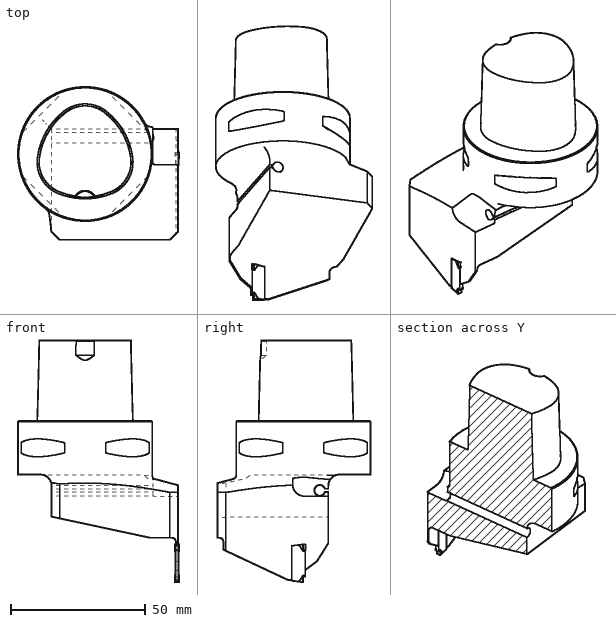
import cadquery as cq
import math


TOTAL_HEIGHT = 90
CUT_MARGIN = 0.9

FLANGE_RADIUS = 25.0
FLANGE_HEIGHT = 20.0
FLANGE_CHAMFER = 0.4
FLANGE_BOTTOM = -FLANGE_HEIGHT

SLOT_COUNT = 4
SLOT_FLOOR_RADIUS = 22.2
SLOT_FLOOR_HEIGHT = 3.8
SLOT_FLARE = 1.4
SLOT_FLOOR_FILLET = 0.5

SHANK_HEIGHT = 30.0
SHANK_TAPER = 1 / 40
SHANK_TIP_RADIUS = 17.9
SHANK_FLAT_RADIUS = 15.9
SHANK_LOBE_RADIUS = 11.9
LOBE_COUNT = 3
LOBE_PITCH = 360 / LOBE_COUNT
FIRST_TIP_ANGLE = 90

NOTCH_RADIUS = 4.0
NOTCH_CENTRE_Y = -17.8
NOTCH_DEPTH = 5.5
NOTCH_TIP_ANGLE = 100
NOTCH_CHAMFER = 0.3

ARM_LEFT = -12.5
ARM_RIGHT = 34.65
ARM_FRONT = -31.95
ARM_BACK = 9.4
ARM_CHAMFER = 3.1
FLARE_RADIUS = 4.05

CONE_SLOPE = 15
CONE_RIM_Z = -21.2
COLLAR_FILLET = 1.3

UNDERSIDE_LEFT_Z = -35.6
UNDERSIDE_Z = -43.5
UNDERSIDE_FLAT_X = 24.0
BLADE_THICKNESS = 0.9
BLADE_FILLET = 1.5
BLADE_LEFT = ARM_RIGHT - BLADE_THICKNESS
BLADE_BACK_Z = -45.45
BLADE_KNEE = (5.1, -52.2)
BLADE_TIP = (-5.7, -59.2)
BLADE_FRONT_Z = -46.9

RELIEF_LEFT = 25.2
RELIEF_FRONT = -4.0
RELIEF_FLOOR = -28.0
RELIEF_FRONT_FILLET = 4.3
RELIEF_LEFT_FILLET = 0.8

CLAMP_HOLE_Y = 6.1
CLAMP_HOLE_Z = -25.8
CLAMP_HOLE_RADIUS = 2.0
CLAMP_SLIT_WIDTH = 1.2

INSERT_LENGTH = 14.1
INSERT_BOTTOM = SHANK_HEIGHT - TOTAL_HEIGHT
INSERT_BACK = 0.7
INSERT_FRONT = -4.2
INSERT_EDGE_Y = -0.1
INSERT_SHOULDER = 2.1
INSERT_RELIEF = 0.5
INSERT_HEAD_WIDTH = 1.6
INSERT_BODY_WIDTH = 1.4
INSERT_HEAD_HEIGHT = 2.6
INSERT_HEAD_DEPTH = 1.5
INSERT_MID_X = ARM_RIGHT - BLADE_THICKNESS / 2
INSERT_MID_Z = INSERT_BOTTOM + INSERT_LENGTH / 2

WORK_BOTTOM_Z = INSERT_BOTTOM - CUT_MARGIN


def polar(radius, degrees):
    angle = math.radians(degrees)
    return radius * math.cos(angle), radius * math.sin(angle)


def yz_prism(points, x_start, x_end):
    """Prism along X with a straight-sided (Y, Z) outline."""
    return cq.Workplane("YZ", origin=(x_start, 0, 0)).polyline(points).close().extrude(x_end - x_start)


def make_flange():
    disc = cq.Workplane("XY").workplane(offset=FLANGE_BOTTOM).circle(FLANGE_RADIUS).extrude(FLANGE_HEIGHT)
    flange = disc.faces(">Z").chamfer(FLANGE_CHAMFER)
    depth = FLANGE_RADIUS - SLOT_FLOOR_RADIUS
    half_floor = SLOT_FLOOR_HEIGHT / 2
    half_mouth = half_floor + SLOT_FLARE
    slot = (
        cq.Workplane("XZ", origin=(0, FLANGE_RADIUS, FLANGE_BOTTOM / 2))
        .polyline([
            (SLOT_FLOOR_RADIUS, -half_floor),
            (SLOT_FLOOR_RADIUS + depth, -half_mouth),
            (SLOT_FLOOR_RADIUS + depth, half_mouth),
            (SLOT_FLOOR_RADIUS, half_floor),
        ])
        .close()
        .extrude(2 * FLANGE_RADIUS)
        .edges("|Y and <X")
        .fillet(SLOT_FLOOR_FILLET)
    )
    step = 360 / SLOT_COUNT
    for index in range(SLOT_COUNT):
        flange = flange.cut(slot.rotate((0, 0, 0), (0, 0, 1), (index + 0.5) * step))
    return flange


def shank_outline(plane, growth):
    """Three lobe arcs joined tangentially by three flatter side arcs."""
    tip = SHANK_TIP_RADIUS + growth
    flat = SHANK_FLAT_RADIUS + growth
    lobe = SHANK_LOBE_RADIUS + growth
    lobe_offset = tip - lobe
    gap = flat - lobe
    side_offset = (gap ** 2 - lobe_offset ** 2) / (lobe_offset - 2 * gap)
    run = lobe_offset + side_offset * math.cos(math.radians(LOBE_PITCH / 2))
    rise = side_offset * math.sin(math.radians(LOBE_PITCH / 2))
    reach = lobe / math.hypot(run, rise)
    join_along = lobe_offset + reach * run
    join_across = reach * rise
    join_radius = math.hypot(join_along, join_across)
    join_angle = math.degrees(math.atan2(join_across, join_along))

    outline = plane.moveTo(*polar(join_radius, FIRST_TIP_ANGLE - join_angle))
    for index in range(LOBE_COUNT):
        angle = FIRST_TIP_ANGLE + index * LOBE_PITCH
        outline = outline.threePointArc(polar(tip, angle), polar(join_radius, angle + join_angle))
        outline = outline.threePointArc(
            polar(flat, angle + LOBE_PITCH / 2),
            polar(join_radius, angle + LOBE_PITCH - join_angle),
        )
    return outline.close()


def make_shank():
    base = shank_outline(cq.Workplane("XY"), SHANK_HEIGHT * SHANK_TAPER)
    shank = shank_outline(base.workplane(offset=SHANK_HEIGHT), 0).loft(ruled=True)
    tip_height = NOTCH_RADIUS / math.tan(math.radians(NOTCH_TIP_ANGLE / 2))
    notch = (
        cq.Workplane("XZ", origin=(0, NOTCH_CENTRE_Y, SHANK_HEIGHT))
        .polyline([
            (0, 0),
            (NOTCH_RADIUS + NOTCH_CHAMFER, 0),
            (NOTCH_RADIUS, -NOTCH_CHAMFER),
            (NOTCH_RADIUS, -NOTCH_DEPTH),
            (0, -NOTCH_DEPTH - tip_height),
        ])
        .close()
        .revolve(360, (0, 0), (0, 1))
    )
    return shank.cut(notch)


def arm_along_y():
    """Arm outline in XZ: left face with its flare, sloped underside, thin blade at the right."""
    length = ARM_BACK + FLARE_RADIUS - ARM_FRONT
    return (
        cq.Workplane("XZ", origin=(0, ARM_BACK + FLARE_RADIUS, 0))
        .moveTo(ARM_LEFT - FLARE_RADIUS, FLANGE_BOTTOM)
        .radiusArc((ARM_LEFT, FLANGE_BOTTOM - FLARE_RADIUS), FLARE_RADIUS)
        .lineTo(ARM_LEFT, UNDERSIDE_LEFT_Z)
        .lineTo(UNDERSIDE_FLAT_X, UNDERSIDE_Z)
        .lineTo(BLADE_LEFT - BLADE_FILLET, UNDERSIDE_Z)
        .radiusArc((BLADE_LEFT, UNDERSIDE_Z - BLADE_FILLET), BLADE_FILLET)
        .lineTo(BLADE_LEFT, WORK_BOTTOM_Z)
        .lineTo(ARM_RIGHT, WORK_BOTTOM_Z)
        .lineTo(ARM_RIGHT, FLANGE_BOTTOM)
        .close()
        .extrude(length)
    )


def arm_along_x():
    """Arm outline in YZ: back face with its flare, and the lower edge of the blade."""
    return (
        cq.Workplane("YZ", origin=(ARM_LEFT - FLARE_RADIUS, 0, 0))
        .moveTo(ARM_BACK + FLARE_RADIUS, FLANGE_BOTTOM)
        .radiusArc((ARM_BACK, FLANGE_BOTTOM - FLARE_RADIUS), -FLARE_RADIUS)
        .lineTo(ARM_BACK, BLADE_BACK_Z)
        .lineTo(*BLADE_KNEE)
        .lineTo(INSERT_FRONT, BLADE_TIP[1])
        .lineTo(*BLADE_TIP)
        .lineTo(ARM_FRONT, BLADE_FRONT_Z)
        .lineTo(ARM_FRONT, FLANGE_BOTTOM)
        .close()
        .extrude(ARM_RIGHT - ARM_LEFT + FLARE_RADIUS)
    )


def arm_plan():
    """Arm outline in XY with both front corners chamfered."""
    left = ARM_LEFT - FLARE_RADIUS
    back = ARM_BACK + FLARE_RADIUS
    left_cut = ARM_CHAMFER + FLARE_RADIUS
    return (
        cq.Workplane("XY", origin=(0, 0, WORK_BOTTOM_Z))
        .polyline([
            (left, back),
            (left, ARM_FRONT + left_cut),
            (left + left_cut, ARM_FRONT),
            (ARM_RIGHT - ARM_CHAMFER, ARM_FRONT),
            (ARM_RIGHT, ARM_FRONT + ARM_CHAMFER),
            (ARM_RIGHT, back),
        ])
        .close()
        .extrude(FLANGE_BOTTOM - WORK_BOTTOM_Z)
    )


def arm_cone():
    """Round envelope: flange radius, collar fillet, then the falling cone."""
    slope = math.radians(CONE_SLOPE)
    setback = COLLAR_FILLET * math.tan((math.pi / 2 - slope) / 2)
    outer_radius = math.hypot(ARM_RIGHT, ARM_FRONT) + CUT_MARGIN
    outer_z = CONE_RIM_Z - (outer_radius - FLANGE_RADIUS) * math.tan(slope)
    fillet_end = (FLANGE_RADIUS + setback * math.cos(slope), CONE_RIM_Z - setback * math.sin(slope))
    return (
        cq.Workplane("XZ")
        .moveTo(0, FLANGE_BOTTOM)
        .lineTo(FLANGE_RADIUS, FLANGE_BOTTOM)
        .lineTo(FLANGE_RADIUS, CONE_RIM_Z + setback)
        .radiusArc(fillet_end, -COLLAR_FILLET)
        .lineTo(outer_radius, outer_z)
        .lineTo(outer_radius, WORK_BOTTOM_Z)
        .lineTo(0, WORK_BOTTOM_Z)
        .close()
        .revolve(360, (0, 0), (0, 1))
    )


def top_relief():
    size_x = ARM_RIGHT + CUT_MARGIN - RELIEF_LEFT
    size_y = ARM_BACK + FLARE_RADIUS - RELIEF_FRONT
    block = (
        cq.Workplane("XY", origin=(RELIEF_LEFT, RELIEF_FRONT, RELIEF_FLOOR))
        .box(size_x, size_y, FLANGE_BOTTOM - RELIEF_FLOOR, centered=False)
    )
    block = block.edges("|X and <Y and <Z").fillet(RELIEF_FRONT_FILLET)
    return block.faces("<Z").edges("<X").fillet(RELIEF_LEFT_FILLET)


def clamp_cut():
    """Hole along X with a slit that opens it to the back face."""
    start = ARM_LEFT - FLARE_RADIUS
    length = ARM_RIGHT - start
    hole = (
        cq.Workplane("YZ", origin=(start, CLAMP_HOLE_Y, CLAMP_HOLE_Z))
        .circle(CLAMP_HOLE_RADIUS)
        .extrude(length)
    )
    slit = (
        cq.Workplane("XY", origin=(start, CLAMP_HOLE_Y, CLAMP_HOLE_Z - CLAMP_SLIT_WIDTH / 2))
        .box(length, ARM_BACK + FLARE_RADIUS - CLAMP_HOLE_Y, CLAMP_SLIT_WIDTH, centered=False)
    )
    return hole.union(slit)


def insert_seat():
    """Opening through the blade, fitted to the front, back and upper end of the insert."""
    top = INSERT_BOTTOM + INSERT_LENGTH
    points = [
        (INSERT_BACK, WORK_BOTTOM_Z),
        (INSERT_BACK, top),
        (INSERT_EDGE_Y, top),
        (INSERT_FRONT, top - INSERT_RELIEF),
        (INSERT_FRONT, WORK_BOTTOM_Z),
    ]
    return yz_prism(points, BLADE_LEFT - BLADE_FILLET, ARM_RIGHT + CUT_MARGIN)


def make_holder():
    arm = arm_along_y().intersect(arm_along_x()).intersect(arm_plan()).intersect(arm_cone())
    arm = arm.cut(top_relief()).cut(clamp_cut()).cut(insert_seat())
    return make_flange().union(make_shank()).union(arm)


def make_insert():
    """Double-ended cutting insert, mirrored about its middle height."""
    end = INSERT_LENGTH / 2
    shoulder = end - INSERT_SHOULDER
    half_body = [
        (INSERT_FRONT, 0),
        (INSERT_FRONT, end - INSERT_RELIEF),
        (INSERT_EDGE_Y, end),
        (INSERT_EDGE_Y, shoulder),
        (INSERT_BACK, shoulder),
        (INSERT_BACK, 0),
    ]
    end_slope = INSERT_RELIEF / (INSERT_EDGE_Y - INSERT_FRONT)
    half_head = [
        (INSERT_BACK, shoulder),
        (INSERT_BACK, end - INSERT_HEAD_HEIGHT),
        (INSERT_EDGE_Y, end - INSERT_HEAD_HEIGHT),
        (INSERT_EDGE_Y - INSERT_HEAD_DEPTH, end - INSERT_HEAD_DEPTH * end_slope),
        (INSERT_EDGE_Y, end),
        (INSERT_EDGE_Y, shoulder),
    ]
    upper_half = yz_prism(half_body, -INSERT_BODY_WIDTH / 2, INSERT_BODY_WIDTH / 2)
    upper_half = upper_half.union(yz_prism(half_head, -INSERT_HEAD_WIDTH / 2, INSERT_HEAD_WIDTH / 2))
    whole = upper_half.union(upper_half.mirror("XY"))
    return whole.translate((INSERT_MID_X, 0, INSERT_MID_Z))


holder = make_holder()
insert = make_insert()
result = cq.Compound.makeCompound([holder.val(), insert.val()])